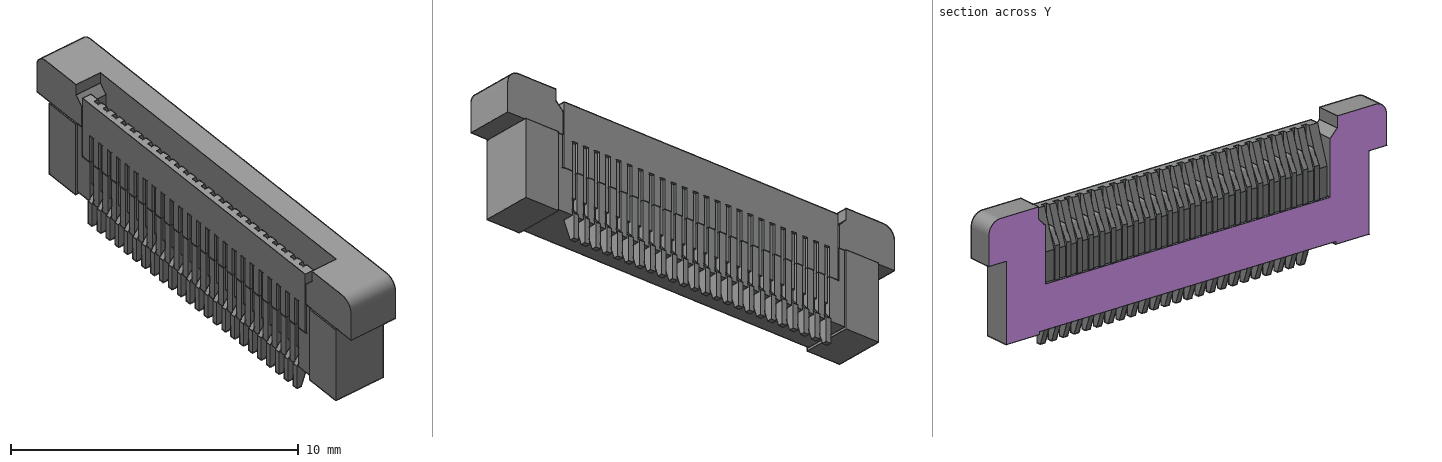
import cadquery as cq
import math

CAP_LENGTH = 17.65
CAP_DEPTH = 1.98
CAP_BOTTOM = 3.15
CAP_TOP = 4.84
CAP_CORNER_RADIUS = 0.51

EAR_OUTER_X = 8.05
EAR_INNER_X = 6.57
EAR_DEPTH = 2.1

BASE_DEPTH = 1.95
BASE_BOTTOM = 0.1

CLEARANCE = 0.05
POCKET_HALF_LENGTH = 6.3
POCKET_BACK_Y = 0.09
POCKET_FLOOR = 1.85
MOUTH_HALF_LENGTH = 6.62
MOUTH_DEPTH = 0.46

ACTUATOR_HALF_LENGTH = POCKET_HALF_LENGTH - CLEARANCE
ACTUATOR_TOP = 4.47
ACTUATOR_FRONT_Y = -CAP_DEPTH / 2
ACTUATOR_TIP_BACK_Y = -0.62
ACTUATOR_BACK_Y = -0.09
WEDGE_HEIGHT = 1.46
COMB_TOP = 3.04

CONTACT_COUNT = 24
CONTACT_ROW_LENGTH = 11.5
CONTACT_PITCH = CONTACT_ROW_LENGTH / (CONTACT_COUNT - 1)
CONTACT_WIDTH = 0.21
CORE_FRONT_Y = -0.78
CORE_BACK_Y = -0.04
LEG_FRONT_Y = -0.88
LEG_BOTTOM = 0.85
TIP_TOP = 3.7
TIP_CHAMFER_DEPTH = 0.32
TIP_SLOPE_ANGLE = 30.0
TIP_RADIUS = 0.15

FOOT_FRONT_Y = -EAR_DEPTH / 2
FOOT_BOTTOM = -0.83
FOOT_SLOPE_TOP = 0.46
FOOT_SLOPE_BOTTOM = 0.16
FOOT_TOE_DEPTH = 0.2
FOOT_HEEL_Y = -0.51

contact_positions = [
    -CONTACT_ROW_LENGTH / 2 + i * CONTACT_PITCH for i in range(CONTACT_COUNT)
]


def block(x_min, x_max, y_min, y_max, z_min, z_max):
    """Rectangular block between the given limits."""
    size = (x_max - x_min, y_max - y_min, z_max - z_min)
    return cq.Workplane("XY").box(*size, centered=False).translate((x_min, y_min, z_min))


def contact_column(y_min, y_max, z_min, z_max):
    """Block as wide as a contact, centred on X = 0."""
    return block(-CONTACT_WIDTH / 2, CONTACT_WIDTH / 2, y_min, y_max, z_min, z_max)


def along_row(shape):
    """Copies of a shape at every contact position."""
    copies = cq.Workplane("XY")
    for x in contact_positions:
        copies = copies.add(shape.translate((x, 0, 0)))
    return copies


def make_shell():
    """Cap, base and ears as one solid block."""
    shell = block(
        -CAP_LENGTH / 2, CAP_LENGTH / 2, -CAP_DEPTH / 2, CAP_DEPTH / 2, CAP_BOTTOM, CAP_TOP
    )
    shell = shell.edges("|Y and >Z").fillet(CAP_CORNER_RADIUS)
    shell = shell.union(
        block(-EAR_INNER_X, EAR_INNER_X, -BASE_DEPTH / 2, BASE_DEPTH / 2, BASE_BOTTOM, CAP_BOTTOM)
    )
    ear = block(EAR_INNER_X, EAR_OUTER_X, -EAR_DEPTH / 2, EAR_DEPTH / 2, 0, CAP_BOTTOM)
    return shell.union(ear).union(ear.mirror("YZ"))


def make_pocket():
    """Room for the actuator, with 45-degree lead-ins below its wider mouth."""
    lead_in_top = CAP_TOP - MOUTH_DEPTH
    lead_in_bottom = lead_in_top - (MOUTH_HALF_LENGTH - POCKET_HALF_LENGTH)
    right_side = [
        (POCKET_HALF_LENGTH, POCKET_FLOOR),
        (POCKET_HALF_LENGTH, lead_in_bottom),
        (MOUTH_HALF_LENGTH, lead_in_top),
        (MOUTH_HALF_LENGTH, CAP_TOP),
    ]
    left_side = [(-x, z) for x, z in reversed(right_side)]
    return (
        cq.Workplane("XZ", origin=(0, POCKET_BACK_Y, 0))
        .polyline(right_side + left_side)
        .close()
        .extrude(POCKET_BACK_Y + CAP_DEPTH / 2)
    )


def make_contact():
    """Upright core with a sloped tip, a thicker leg at mid-height and a tapered foot at the front."""
    slope_height = TIP_CHAMFER_DEPTH / math.tan(math.radians(TIP_SLOPE_ANGLE))
    slope_top_y = CORE_BACK_Y - TIP_CHAMFER_DEPTH

    contact = (
        cq.Workplane("YZ", origin=(-CONTACT_WIDTH / 2, 0, 0))
        .moveTo(CORE_FRONT_Y, TIP_TOP)
        .lineTo(CORE_FRONT_Y, COMB_TOP)
        .lineTo(LEG_FRONT_Y, COMB_TOP)
        .lineTo(LEG_FRONT_Y, LEG_BOTTOM)
        .lineTo(CORE_FRONT_Y, LEG_BOTTOM)
        .lineTo(CORE_FRONT_Y, FOOT_SLOPE_TOP)
        .lineTo(FOOT_FRONT_Y, FOOT_SLOPE_BOTTOM)
        .lineTo(FOOT_FRONT_Y, FOOT_BOTTOM)
        .lineTo(FOOT_FRONT_Y + FOOT_TOE_DEPTH, FOOT_BOTTOM)
        .lineTo(FOOT_HEEL_Y, BASE_BOTTOM)
        .lineTo(CORE_BACK_Y, BASE_BOTTOM)
        .lineTo(CORE_BACK_Y, TIP_TOP - slope_height)
        .lineTo(slope_top_y, TIP_TOP)
        .close()
        .extrude(CONTACT_WIDTH)
    )
    tip_edge = cq.selectors.NearestToPointSelector((0, slope_top_y, TIP_TOP))
    return contact.edges(tip_edge).fillet(TIP_RADIUS)


def make_housing():
    """Shell with its pocket, and the contacts fixed in grooves of the base."""
    groove = contact_column(-BASE_DEPTH / 2, CORE_FRONT_Y, BASE_BOTTOM, POCKET_FLOOR)
    housing = make_shell().cut(make_pocket())
    housing = housing.cut(cq.Compound.makeCompound(along_row(groove.val()).vals()))
    for contact in along_row(make_contact().val()).vals():
        housing = housing.union(cq.Workplane(contact))
    return housing


def make_actuator():
    """Wedge with a slot for each contact, open to the front below the comb top."""
    actuator = (
        cq.Workplane("YZ", origin=(-ACTUATOR_HALF_LENGTH, 0, 0))
        .polyline(
            [
                (ACTUATOR_FRONT_Y, POCKET_FLOOR),
                (ACTUATOR_FRONT_Y, ACTUATOR_TOP),
                (ACTUATOR_TIP_BACK_Y, ACTUATOR_TOP),
                (ACTUATOR_BACK_Y, ACTUATOR_TOP - WEDGE_HEIGHT),
                (ACTUATOR_BACK_Y, POCKET_FLOOR),
            ]
        )
        .close()
        .extrude(2 * ACTUATOR_HALF_LENGTH)
    )
    rear_slot = contact_column(CORE_FRONT_Y, ACTUATOR_BACK_Y, POCKET_FLOOR, ACTUATOR_TOP)
    front_slot = contact_column(ACTUATOR_FRONT_Y, CORE_FRONT_Y, POCKET_FLOOR, COMB_TOP)
    slot = rear_slot.union(front_slot)
    return actuator.cut(cq.Compound.makeCompound(along_row(slot.val()).vals()))


housing = make_housing()
actuator = make_actuator()
result = cq.Compound.makeCompound([housing.val(), actuator.val()])